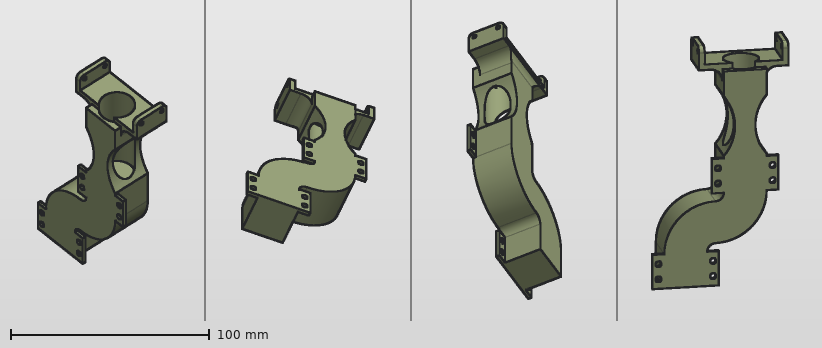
import cadquery as cq


body_width = 22.0
body_depth = 22.0
body_top = 112.3
bend_inner_radius = 4.2
bend_outer_radius = bend_inner_radius + body_width
bend_shift = bend_inner_radius + bend_outer_radius

plate_width = 34.0
plate_height = 18.0
plate_thickness = 1.9
plate_hole_diameter = 3.0
plate_hole_spacing_x = 28.0
plate_hole_spacing_z = 8.0

lower_center = plate_width / 2
upper_center = lower_center + bend_shift
seam_x = lower_center + bend_shift / 2
upper_start = plate_height + bend_shift

waist_bottom = 67.9
waist_top = 98.9
waist_width = 10.5

bore_diameter = 18.2
bore_floor = upper_start + plate_height

bracket_width = 46.0
bracket_front = 4.0
bracket_back = 24.0
bracket_depth = bracket_back - bracket_front
bracket_top = 124.5
bracket_thickness = 3.0
ear_corner_radius = 3.0
ear_hole_diameter = 2.2
ear_hole_inset = 3.2
ear_hole_drop = 3.0
gusset_radius = 6.0
back_gusset_height = 4.5


def front_plane(y=0):
    """XZ plane at the given Y, facing -Y; negative extrusions run toward +Y."""
    return cq.Workplane(cq.Plane(origin=(0, y, 0), xDir=(1, 0, 0), normal=(0, -1, 0)))


def block(x, y, z, dx, dy, dz):
    return cq.Workplane("XY").box(dx, dy, dz, centered=False).translate((x, y, z))


def make_body():
    half = body_width / 2
    lower_left = lower_center - half
    lower_right = lower_center + half
    upper_left = upper_center - half
    upper_right = upper_center + half
    waist_middle = (waist_bottom + waist_top) / 2
    bend_bottom = plate_height + bend_inner_radius
    bend_top = plate_height + bend_outer_radius
    return (
        front_plane()
        .moveTo(lower_left, 0)
        .lineTo(lower_right, 0)
        .lineTo(lower_right, plate_height)
        .tangentArcPoint((seam_x, bend_bottom), relative=False)
        .tangentArcPoint((upper_right, upper_start), relative=False)
        .lineTo(upper_right, waist_bottom)
        .threePointArc((upper_center + waist_width / 2, waist_middle), (upper_right, waist_top))
        .lineTo(upper_right, body_top)
        .lineTo(upper_left, body_top)
        .lineTo(upper_left, waist_top)
        .threePointArc((upper_center - waist_width / 2, waist_middle), (upper_left, waist_bottom))
        .lineTo(upper_left, upper_start)
        .tangentArcPoint((seam_x, bend_top), relative=False)
        .tangentArcPoint((lower_left, plate_height), relative=False)
        .close()
        .extrude(-body_depth)
    )


def make_plate(center_x, bottom):
    holes = (
        front_plane()
        .center(center_x, bottom + plate_height / 2)
        .rarray(plate_hole_spacing_x, plate_hole_spacing_z, 2, 2)
        .circle(plate_hole_diameter / 2)
        .extrude(-plate_thickness)
    )
    plate = block(center_x - plate_width / 2, 0, bottom, plate_width, plate_thickness, plate_height)
    return plate.cut(holes)


def make_bracket():
    left = upper_center - bracket_width / 2
    inner_width = bracket_width - 2 * bracket_thickness
    blank = block(left, bracket_front, body_top, bracket_width, bracket_depth, bracket_top - body_top)
    blank = blank.edges("|X and >Z").fillet(ear_corner_radius)
    opening = block(
        left + bracket_thickness, bracket_front, body_top + bracket_thickness,
        inner_width, bracket_depth, bracket_top - body_top,
    )
    ear_holes = (
        cq.Workplane("YZ", origin=(left, 0, 0))
        .pushPoints([
            (bracket_front + ear_hole_inset, bracket_top - ear_hole_drop),
            (bracket_back - ear_hole_inset, bracket_top - ear_hole_drop),
        ])
        .circle(ear_hole_diameter / 2)
        .extrude(bracket_width)
    )
    return blank.cut(opening).cut(ear_holes)


def make_gussets():
    """Support below the bracket, curving out from the sides and back of the body."""
    half = body_width / 2
    reach = half + gusset_radius
    bottom = body_top - gusset_radius
    across = (
        front_plane(bracket_front)
        .moveTo(upper_center - reach, body_top)
        .radiusArc((upper_center - half, bottom), gusset_radius)
        .lineTo(upper_center + half, bottom)
        .radiusArc((upper_center + reach, body_top), gusset_radius)
        .close()
        .extrude(-bracket_depth)
    )
    back_profile = (
        cq.Workplane("YZ", origin=(upper_center - reach, 0, 0))
        .moveTo(bracket_front, bottom)
        .lineTo(body_depth, bottom)
        .lineTo(body_depth, body_top - back_gusset_height)
        .tangentArcPoint((bracket_back, body_top), relative=False)
        .lineTo(bracket_front, body_top)
        .close()
        .extrude(2 * reach)
    )
    return across.intersect(back_profile)


def make_bore():
    return (
        cq.Workplane("XY", origin=(upper_center, body_depth / 2, bore_floor))
        .circle(bore_diameter / 2)
        .extrude(bracket_top - bore_floor)
    )


result = (
    make_body()
    .union(make_plate(lower_center, 0))
    .union(make_plate(upper_center, upper_start))
    .union(make_bracket())
    .union(make_gussets())
    .cut(make_bore())
)